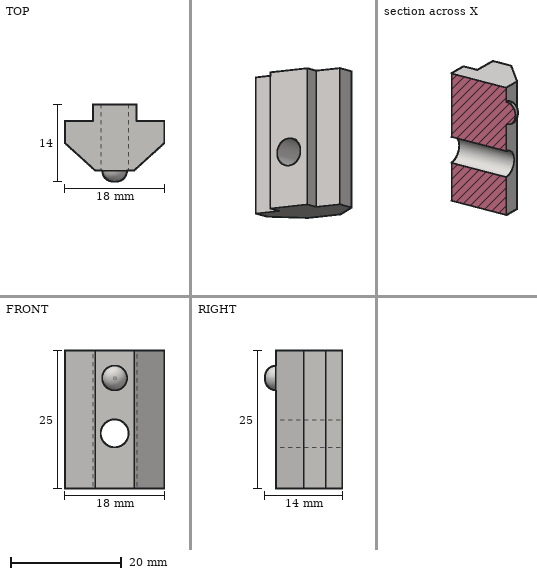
import cadquery as cq

length = 25
width = 18
depth = 12
tongue_width = 7.9
tongue_depth = 3
side_depth = 4
front_width = 7

hole_diameter = 5
hole_height = 10
ball_height = 20
ball_radius = 2.25
tip_radius = 0.25
nose_radius = ball_radius - tip_radius
ball_projection = nose_radius

front_y = -depth / 2
back_y = depth / 2
shoulder_y = back_y - tongue_depth
bevel_y = shoulder_y - side_depth


def make_body():
    """Extrude the symmetric T-shaped section with bevelled front corners."""
    half_section = [
        (0, front_y),
        (front_width / 2, front_y),
        (width / 2, bevel_y),
        (width / 2, shoulder_y),
        (tongue_width / 2, shoulder_y),
        (tongue_width / 2, back_y),
        (0, back_y),
    ]
    half = cq.Workplane("XY").polyline(half_section).close().extrude(length)
    return half.union(half.mirror("YZ")).clean()


def make_hole():
    """Cylinder passing through the whole depth along Y."""
    return (
        cq.Workplane("XZ", origin=(0, back_y, hole_height))
        .circle(hole_diameter / 2)
        .extrude(depth)
    )


def make_ball():
    """Revolve a quarter-round nose with a small flat tip, standing on the front face."""
    tip_y = front_y - ball_projection
    half_profile = (
        cq.Workplane("XY", origin=(0, 0, ball_height))
        .moveTo(0, front_y)
        .lineTo(ball_radius, front_y)
        .radiusArc((tip_radius, tip_y), nose_radius)
        .lineTo(0, tip_y)
        .close()
    )
    return half_profile.revolve(360, (0, 0, 0), (0, 1, 0))


result = make_body().cut(make_hole()).union(make_ball())